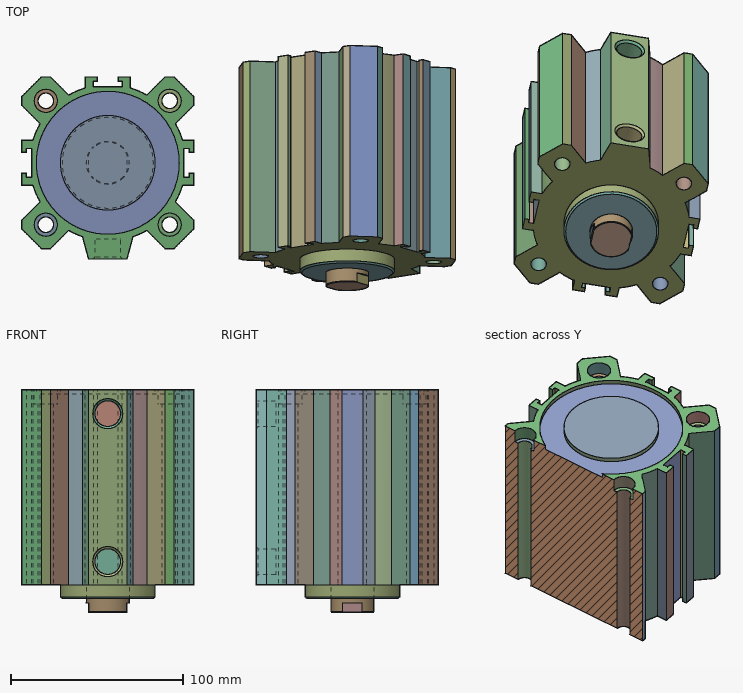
import cadquery as cq
import math


TOTAL_HEIGHT = 129.5
PROFILE_WIDTH = 100.0
COLLAR_HEIGHT = 8.0
ROD_REACH = 8.0
BODY_HEIGHT = TOTAL_HEIGHT - COLLAR_HEIGHT - ROD_REACH
HALF_WIDTH = PROFILE_WIDTH / 2

BARREL_DIAMETER = 90.9
RECESS_DIAMETER = 83.1
RECESS_DEPTH = 2.6
COLLAR_DIAMETER = 55.0
COLLAR_CHAMFER = 1.0

LUG_WIDTH = 23.5
LUG_TIP_RADIUS = 62.5
BOLT_OFFSET = 36.0
BOLT_DIAMETER = 9.0
COUNTERBORE_DIAMETER = 13.5
COUNTERBORE_DEPTH = 8.3

RAIL_WIDTH = 26.4
SLOT_FLOOR_RADIUS = 44.3
SLOT_WIDTH = 16.6
SLOT_MOUTH_WIDTH = 12.2
SLOT_LIP = 2.7
RAIL_ANGLES = (0, 90, 180)

PORT_FACE_Y = -56.1
PORT_FACE_WIDTH = 22.4
PORT_BLOCK_TAPER = math.radians(15)
PORT_DIAMETER = 14.9
PORT_RIM_DIAMETER = 17.5
PORT_CHAMFER = (PORT_RIM_DIAMETER - PORT_DIAMETER) / 2
PORT_DEPTH = 11.7
UPPER_PORT_DROP = 14.0
LOWER_PORT_RISE = 13.5
PORT_HEIGHTS = (LOWER_PORT_RISE, BODY_HEIGHT - UPPER_PORT_DROP)

ROD_DIAMETER = 25.0
ROD_CHAMFER = 0.4
ROD_FLATS_WIDTH = 22.3
ROD_FLATS_HEIGHT = 5.5


def make_lugs():
    """Diagonal lugs at the four corners, trimmed to the square profile."""
    diagonals = None
    for angle in (45, 135):
        bar = cq.Workplane("XY").rect(2 * LUG_TIP_RADIUS, LUG_WIDTH).extrude(BODY_HEIGHT)
        bar = bar.rotate((0, 0, 0), (0, 0, 1), angle)
        diagonals = bar if diagonals is None else diagonals.union(bar)
    square = cq.Workplane("XY").rect(PROFILE_WIDTH, PROFILE_WIDTH).extrude(BODY_HEIGHT)
    return diagonals.intersect(square)


def box_along_x(x_start, x_end, width):
    """Full-height box between two X positions, centred on Y = 0."""
    return (
        cq.Workplane("XY")
        .center((x_start + x_end) / 2, 0)
        .rect(x_end - x_start, width)
        .extrude(BODY_HEIGHT)
    )


def make_rail():
    """Solid rail block on the +X side, before its T-slot is cut."""
    return box_along_x(0, HALF_WIDTH, RAIL_WIDTH)


def make_t_slot():
    """T-slot cutter: a wide chamber behind a narrower mouth."""
    chamber = box_along_x(SLOT_FLOOR_RADIUS, HALF_WIDTH - SLOT_LIP, SLOT_WIDTH)
    mouth = box_along_x(SLOT_FLOOR_RADIUS, HALF_WIDTH, SLOT_MOUTH_WIDTH)
    return chamber.union(mouth)


def make_port_block():
    """Block that widens from the port face towards the barrel axis."""
    face_half = PORT_FACE_WIDTH / 2
    root_y = -BARREL_DIAMETER / 4
    root_half = face_half + (root_y - PORT_FACE_Y) * math.tan(PORT_BLOCK_TAPER)
    return (
        cq.Workplane("XY")
        .polyline([
            (-face_half, PORT_FACE_Y),
            (face_half, PORT_FACE_Y),
            (root_half, root_y),
            (-root_half, root_y),
        ])
        .close()
        .extrude(BODY_HEIGHT)
    )


def make_port(height):
    """Blind port cutter entering from the port face, with a conical lead-in."""
    inward = cq.Vector(0, 1, 0)
    mouth = cq.Vector(0, PORT_FACE_Y, height)
    bore = cq.Solid.makeCylinder(PORT_DIAMETER / 2, PORT_DEPTH, mouth, inward)
    lead_in = cq.Solid.makeCone(PORT_RIM_DIAMETER / 2, PORT_DIAMETER / 2, PORT_CHAMFER, mouth, inward)
    return cq.Workplane(bore.fuse(lead_in))


def make_collar():
    """Rod collar below the lower end face."""
    return (
        cq.Workplane("XY")
        .circle(COLLAR_DIAMETER / 2)
        .extrude(-COLLAR_HEIGHT)
        .faces("<Z")
        .chamfer(COLLAR_CHAMFER)
    )


def make_end_recess():
    """Ring-shaped recess in the upper face, leaving a flush central disc."""
    return (
        cq.Workplane("XY", origin=(0, 0, BODY_HEIGHT - RECESS_DEPTH))
        .circle(RECESS_DIAMETER / 2)
        .circle(COLLAR_DIAMETER / 2)
        .extrude(RECESS_DEPTH)
    )


def make_housing():
    """Extruded barrel with lugs, rails, port block and rod collar."""
    body = cq.Workplane("XY").circle(BARREL_DIAMETER / 2).extrude(BODY_HEIGHT)
    body = body.union(make_lugs()).union(make_port_block())
    for angle in RAIL_ANGLES:
        body = body.union(make_rail().rotate((0, 0, 0), (0, 0, 1), angle))
    for angle in RAIL_ANGLES:
        body = body.cut(make_t_slot().rotate((0, 0, 0), (0, 0, 1), angle))
    body = body.union(make_collar()).cut(make_end_recess())

    body = (
        body.faces(">Z")
        .workplane(origin=(0, 0, BODY_HEIGHT))
        .rect(2 * BOLT_OFFSET, 2 * BOLT_OFFSET, forConstruction=True)
        .vertices()
        .cboreHole(BOLT_DIAMETER, COUNTERBORE_DIAMETER, COUNTERBORE_DEPTH)
    )
    for height in PORT_HEIGHTS:
        body = body.cut(make_port(height))

    rod_bore = cq.Workplane("XY").circle(ROD_DIAMETER / 2).extrude(-COLLAR_HEIGHT)
    return body.cut(rod_bore)


def make_rod():
    """Piston rod seated in the collar, with two wrench flats at its free end."""
    length = COLLAR_HEIGHT + ROD_REACH
    rod = (
        cq.Workplane("XY")
        .circle(ROD_DIAMETER / 2)
        .extrude(-length)
        .faces("<Z")
        .chamfer(ROD_CHAMFER)
    )
    flats_end = cq.Workplane("XY", origin=(0, 0, -length))
    outside = flats_end.rect(2 * ROD_DIAMETER, 2 * ROD_DIAMETER).extrude(ROD_FLATS_HEIGHT)
    between = flats_end.rect(ROD_FLATS_WIDTH, 2 * ROD_DIAMETER).extrude(ROD_FLATS_HEIGHT)
    return rod.cut(outside.cut(between))


housing = make_housing()
rod = make_rod()

result = cq.Compound.makeCompound([housing.val(), rod.val()])